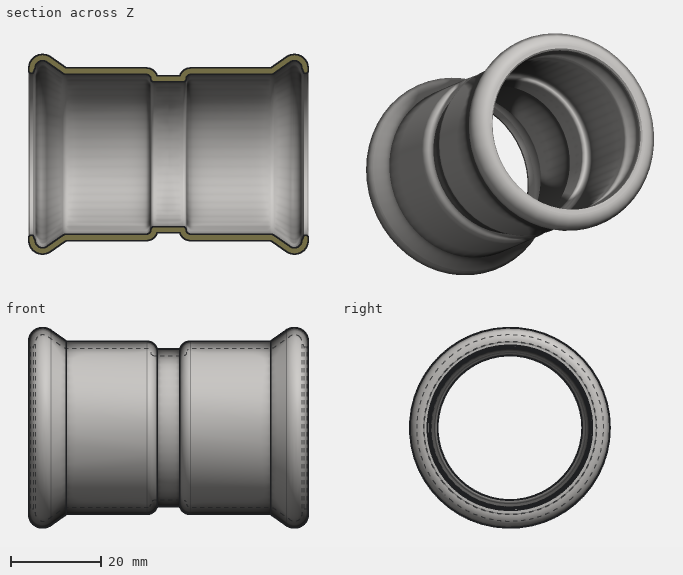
import cadquery as cq
import math

length = 62.0
wall = 1.5

neck_bore_radius = 32.0 / 2
neck_outer_radius = 35.0 / 2
socket_bore_radius = 35.3 / 2
lip_bore_radius = 35.9 / 2
socket_outer_radius = 38.4 / 2

bead_radius = 3.1
bead_outer_radius = 44.4 / 2
bead_axial = bead_radius
bead_radial = bead_outer_radius - bead_radius
groove_radius = bead_radius - wall
cone_angle = math.radians(35.0)
groove_exit_fillet = 1.5
lip_chamfer = 0.35
lip_thickness = 1.0

neck_width = 5.0
shoulder_radius = 2.5
shoulder_inner_radius = 0.9


def point_on_circle(center, radius, angle):
    """Point (axial, radial) on a circle; the angle runs from the outward radial toward +X."""
    return (center[0] + radius * math.sin(angle), center[1] + radius * math.cos(angle))


def cone_foot(start, radius):
    """Point where the bead's cone, leaving from start, comes down to the given radius."""
    return (start[0] + (start[1] - radius) / math.tan(cone_angle), radius)


def half_sleeve():
    """Half of the sleeve, from its mouth to the middle plane, revolved about X."""
    middle = length / 2

    bead_center = (bead_axial, bead_radial)
    outer_cone_start = point_on_circle(bead_center, bead_radius, cone_angle)
    groove_cone_start = point_on_circle(bead_center, groove_radius, cone_angle)

    groove_corner = cone_foot(groove_cone_start, socket_bore_radius)
    exit_end = groove_corner[0] + groove_exit_fillet * math.tan(cone_angle / 2)
    exit_center = (exit_end, socket_bore_radius + groove_exit_fillet)
    exit_start = point_on_circle(exit_center, groove_exit_fillet, math.pi + cone_angle)
    exit_mid = point_on_circle(exit_center, groove_exit_fillet, math.pi + cone_angle / 2)

    shoulder_radial = socket_outer_radius - shoulder_radius
    neck_drop = neck_outer_radius - shoulder_radial
    neck_start = middle - neck_width / 2
    shoulder_start = neck_start - math.sqrt(shoulder_radius**2 - neck_drop**2)
    shoulder_center = (shoulder_start, shoulder_radial)
    shoulder_angle = math.acos(neck_drop / shoulder_radius)
    shoulder_mid = point_on_circle(shoulder_center, shoulder_radius, shoulder_angle / 2)

    stop_face = shoulder_start + shoulder_inner_radius
    stop_radial = socket_bore_radius - shoulder_inner_radius
    inner_shoulder_center = (shoulder_start, stop_radial)
    inner_shoulder_mid = point_on_circle(inner_shoulder_center, shoulder_inner_radius, math.pi / 4)
    stop_fillet = stop_radial - neck_bore_radius
    stop_center = (stop_face + stop_fillet, stop_radial)
    stop_mid = point_on_circle(stop_center, stop_fillet, math.pi * 5 / 4)

    lip_face_radius = lip_bore_radius + lip_chamfer

    profile = (
        cq.Workplane("XY")
        .moveTo(0, lip_face_radius)
        .lineTo(0, bead_radial)
        .threePointArc(point_on_circle(bead_center, bead_radius, 0), outer_cone_start)
        .lineTo(*cone_foot(outer_cone_start, socket_outer_radius))
        .lineTo(shoulder_start, socket_outer_radius)
        .threePointArc(shoulder_mid, (neck_start, neck_outer_radius))
        .lineTo(middle, neck_outer_radius)
        .lineTo(middle, neck_bore_radius)
        .lineTo(stop_center[0], neck_bore_radius)
        .threePointArc(stop_mid, (stop_face, stop_radial))
        .threePointArc(inner_shoulder_mid, (shoulder_start, socket_bore_radius))
        .lineTo(exit_end, socket_bore_radius)
        .threePointArc(exit_mid, exit_start)
        .lineTo(*groove_cone_start)
        .threePointArc(point_on_circle(bead_center, groove_radius, 0), (wall, bead_radial))
        .lineTo(lip_thickness, lip_bore_radius)
        .lineTo(lip_chamfer, lip_bore_radius)
        .close()
    )
    return profile.revolve(360, (0, 0, 0), (1, 0, 0)).translate((-middle, 0, 0))


half = half_sleeve()
result = half.union(half.mirror("YZ")).clean()